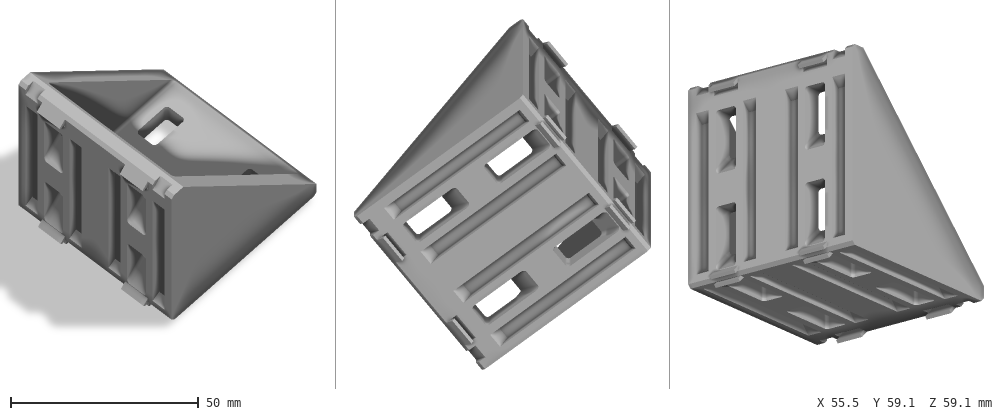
import cadquery as cq
import math

width = 55.5
leg = 57.0
land = 4.6
chamfer = 1.0
wall = 6.0
side_wall = 5.0
fillet = 1.0

slot_x = 15.0
slot_width = 6.8
slot_length = 18.0
slot_starts = (2.85, 30.15)

groove_start = 3.15
groove_end = 48.9
groove_depth = 2.6
groove_end_rise = 2.5
groove_end_angle = 30
outer_groove_x = 23.0
outer_groove_width = 4.25
inner_groove_x = 7.1
inner_groove_width = 4.4

notch = 3.15

tongue_width = 8.2
tongue_thickness = 1.0
end_tongue_reach = 2.1
relief_edge = 4.55
relief_reach = 1.8
corner_tongue_edge = 2.6
corner_tongue_reach = 1.7

tongue_on_face = tongue_thickness * math.sqrt(2)
tip_step = tongue_thickness / math.sqrt(2)


def prism(points, center_x, across):
    """Extrude a (Y, Z) outline along X, centred on center_x."""
    outline = cq.Workplane("YZ", origin=(center_x, 0, 0)).polyline(points).close()
    return outline.extrude(across / 2, both=True)


def swapped(solid):
    """Mirror a shape about the plane Y = Z, from the upright leg to the flat one."""
    return cq.Workplane(solid.val().mirror((0, 1, -1), (0, 0, 0)))


def bracket_blank():
    return prism(
        [
            (0, chamfer),
            (0, leg - chamfer),
            (chamfer, leg),
            (land, leg),
            (leg, land),
            (leg, chamfer),
            (leg - chamfer, 0),
            (chamfer, 0),
        ],
        0,
        width,
    )


def pocket():
    """Hollow open through the sloped side, rounded where its walls and floors meet."""
    far = leg + land
    block = prism([(wall, wall), (wall, far), (far, wall)], 0, width - 2 * side_wall)
    inner_edges = block.faces("<Y or <Z").edges("|Z or |Y or (|X and <Y and <Z)")
    return inner_edges.fillet(fillet)


def mounting_slot(x, start):
    """Slot through the upright leg; its lower end rises inward at 45 degrees."""
    end = start + slot_length
    block = prism([(0, start), (0, end), (wall, end), (wall, start + wall)], x, slot_width)
    block = block.faces(">Z").edges("#X").fillet(fillet)
    return block.faces("<Z").edges("#X").fillet(fillet)


def groove(x, across):
    """Groove in the face of the upright leg, its floor shortened by sloped ends."""
    rise = groove_depth * math.tan(math.radians(groove_end_angle))
    return prism(
        [
            (0, groove_start),
            (0, groove_end),
            (groove_depth, groove_end - groove_end_rise),
            (groove_depth, groove_start + rise),
        ],
        x,
        across,
    )


def end_notch(x):
    return prism([(0, leg - notch), (0, leg), (notch, leg)], x, outer_groove_width)


def tongue_relief(x):
    """Sloped relief in the leg face just below an end tongue."""
    top = leg - chamfer - tongue_on_face
    bottom = leg - relief_edge
    return prism(
        [
            (0, bottom),
            (0, top),
            (relief_reach, top + relief_reach),
            (relief_reach, bottom + relief_reach),
        ],
        x,
        tongue_width,
    )


def tongue(x, edge, reach):
    """Tongue on the face of the upright leg, sloping down from the height edge."""
    tip = edge - reach
    return prism(
        [
            (0, edge),
            (-reach, tip),
            (tip_step - reach, tip - tip_step),
            (0, edge - tongue_on_face),
        ],
        x,
        tongue_width,
    )


def top_tongue(x):
    """Separate tongue that carries the chamfer at the top of the upright leg on past its face."""
    return tongue(x, leg - chamfer, end_tongue_reach)


def build_bracket():
    body = bracket_blank().cut(pocket())
    cutters = []
    for side in (-1, 1):
        cutters += [mounting_slot(side * slot_x, start) for start in slot_starts]
        cutters.append(groove(side * outer_groove_x, outer_groove_width))
        cutters.append(groove(side * inner_groove_x, inner_groove_width))
        cutters.append(end_notch(side * outer_groove_x))
        cutters.append(tongue_relief(side * slot_x))
    for cutter in cutters:
        body = body.cut(cutter).cut(swapped(cutter))
    for side in (-1, 1):
        corner_tongue = tongue(side * slot_x, corner_tongue_edge, corner_tongue_reach)
        rear_tongue = swapped(top_tongue(side * slot_x))
        body = body.union(corner_tongue).union(swapped(corner_tongue)).union(rear_tongue)
    return body


bracket = build_bracket()
top_tongues = [top_tongue(side * slot_x) for side in (-1, 1)]

result = cq.Compound.makeCompound([bracket.solids().val(), *[item.val() for item in top_tongues]])